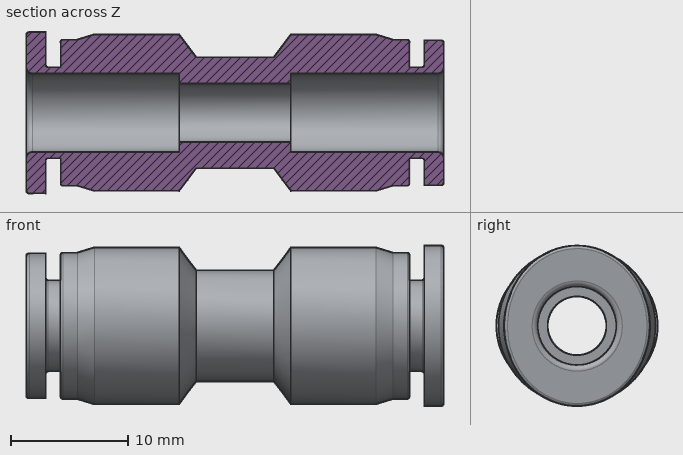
import cadquery as cq

length = 35.6
half_length = length / 2

ring_major = 13.78
ring_major_vertical = 13.7
ring_minor = 12.4
ring_thickness = 1.67
ring_edge_round = 0.25
collar_diameter = 7.8
collar_root_round = 0.18

nose_start = 2.92
nose_edge_round = 0.2
nose_end = 4.35
barrel_start = 5.8
barrel_end = 13.03
waist_start = 14.5
nose_diameter = 12.5
barrel_diameter = 13.4
waist_diameter = 9.5

through_diameter = 5.0
tube_diameter = 6.7
tube_depth = barrel_end
mouth_round = 0.5


def rod(diameter, start, end):
    """Round bar along X between two X positions."""
    return cq.Workplane("YZ", origin=(start, 0, 0)).circle(diameter / 2).extrude(end - start)


def make_body():
    """Turned body: two barrels joined by a narrow waist."""
    profile = [
        (nose_start, nose_diameter / 2),
        (nose_end, nose_diameter / 2),
        (barrel_start, barrel_diameter / 2),
        (barrel_end, barrel_diameter / 2),
        (waist_start, waist_diameter / 2),
    ]
    left = [(distance - half_length, radius) for distance, radius in profile]
    right = [(-x, radius) for x, radius in reversed(left)]
    outline = [(left[0][0], 0)] + left + right + [(right[-1][0], 0)]
    body = cq.Workplane("XY").polyline(outline).close().revolve(360, (0, 0, 0), (1, 0, 0))
    return body.faces("<X or >X").edges().fillet(nose_edge_round)


def make_left_ring(width_y, width_z):
    """Oval ring with its collar, at the -X end."""
    ring_back = ring_thickness - half_length
    ring = (
        cq.Workplane("YZ", origin=(-half_length, 0, 0))
        .ellipse(width_y / 2, width_z / 2)
        .extrude(ring_thickness)
        .faces("<X").edges().fillet(ring_edge_round)
    )
    collar = rod(collar_diameter, ring_back, nose_start - half_length)
    root = cq.selectors.BoxSelector(
        (ring_back - collar_root_round / 2, -collar_diameter, -collar_diameter),
        (ring_back + collar_root_round / 2, collar_diameter, collar_diameter),
        boundingbox=False,
    )
    ring = ring.union(collar)
    return ring.edges(root).edges(cq.selectors.RadiusNthSelector(0)).fillet(collar_root_round)


left_ring = make_left_ring(ring_major, ring_minor)
right_ring = make_left_ring(ring_minor, ring_major_vertical).mirror("YZ")
connector = make_body().union(left_ring).union(right_ring)

connector = connector.cut(rod(through_diameter, -half_length, half_length))
connector = connector.cut(rod(tube_diameter, -half_length, tube_depth - half_length))
connector = connector.cut(rod(tube_diameter, half_length - tube_depth, half_length))

for end_face in ("<X", ">X"):
    mouth = connector.faces(end_face).edges("%CIRCLE")
    connector = mouth.fillet(mouth_round)

result = connector